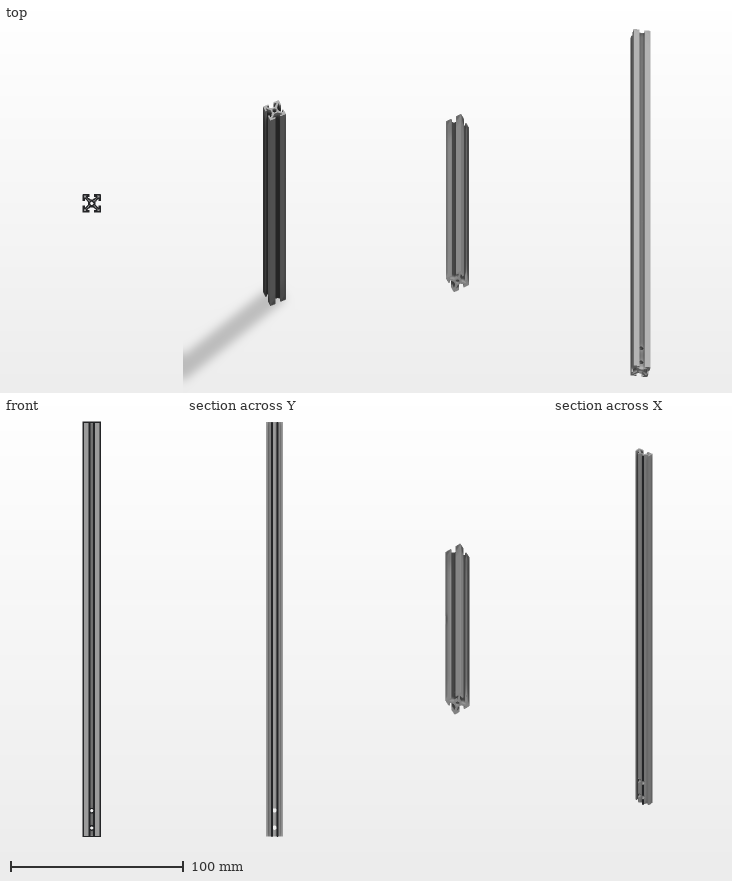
import cadquery as cq

WIDTH = 10.0
LENGTH = 240.0
HALF_WIDTH = WIDTH / 2
SIDE_COUNT = 4

SLOT_OPENING = 3.0
SLOT_INNER_WIDTH = 6.0
SLOT_FLOOR_WIDTH = 2.0
LIP_THICKNESS = 0.9
SLOT_SHOULDER_DEPTH = 1.3
SLOT_DEPTH = 3.0

OUTER_EDGE_RADIUS = 0.2

HOLE_DIAMETER = 2.5
FIRST_CROSS_HOLE_HEIGHT = 5.0
CROSS_HOLE_SPACING = 10.0
CROSS_HOLE_COUNT = 2


def make_slot(angle):
    """T-slot cutter along the +Y side, turned about Z by the given angle."""
    right_side = [
        (SLOT_OPENING / 2, HALF_WIDTH),
        (SLOT_OPENING / 2, HALF_WIDTH - LIP_THICKNESS),
        (SLOT_INNER_WIDTH / 2, HALF_WIDTH - LIP_THICKNESS),
        (SLOT_INNER_WIDTH / 2, HALF_WIDTH - SLOT_SHOULDER_DEPTH),
        (SLOT_FLOOR_WIDTH / 2, HALF_WIDTH - SLOT_DEPTH),
    ]
    left_side = [(-x, y) for x, y in reversed(right_side)]
    slot = cq.Workplane("XY").polyline(right_side + left_side).close().extrude(LENGTH)
    return slot.rotate((0, 0, 0), (0, 0, 1), angle)


def make_beam():
    """Square bar with a T-slot along each side and rounded long outer edges."""
    beam = cq.Workplane("XY").rect(WIDTH, WIDTH).extrude(LENGTH)
    for side in range(SIDE_COUNT):
        beam = beam.cut(make_slot(side * 360 / SIDE_COUNT))
    outer_faces = beam.faces("<X or >X or <Y or >Y")
    return outer_faces.edges("|Z").fillet(OUTER_EDGE_RADIUS)


def make_center_bore():
    """Bore along the beam axis, through the full length."""
    return cq.Workplane("XY").circle(HOLE_DIAMETER / 2).extrude(LENGTH)


def make_cross_holes():
    """Holes through the web along Y, near the lower end."""
    centers = [
        (0, FIRST_CROSS_HOLE_HEIGHT + CROSS_HOLE_SPACING * index)
        for index in range(CROSS_HOLE_COUNT)
    ]
    profile = cq.Workplane("XZ").pushPoints(centers).circle(HOLE_DIAMETER / 2)
    return profile.extrude(HALF_WIDTH, both=True)


result = make_beam().cut(make_center_bore()).cut(make_cross_holes())